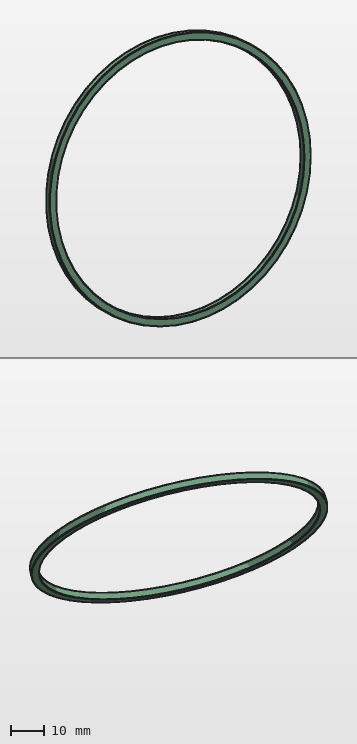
import cadquery as cq

outer_diameter = 91.55
inner_diameter = 86.6
ring_width = 2.4
edge_chamfer = 0.2

ring = (
    cq.Workplane("YZ", origin=(-ring_width / 2, 0, 0))
    .circle(outer_diameter / 2)
    .circle(inner_diameter / 2)
    .extrude(ring_width)
)

result = ring.edges("%CIRCLE").chamfer(edge_chamfer)